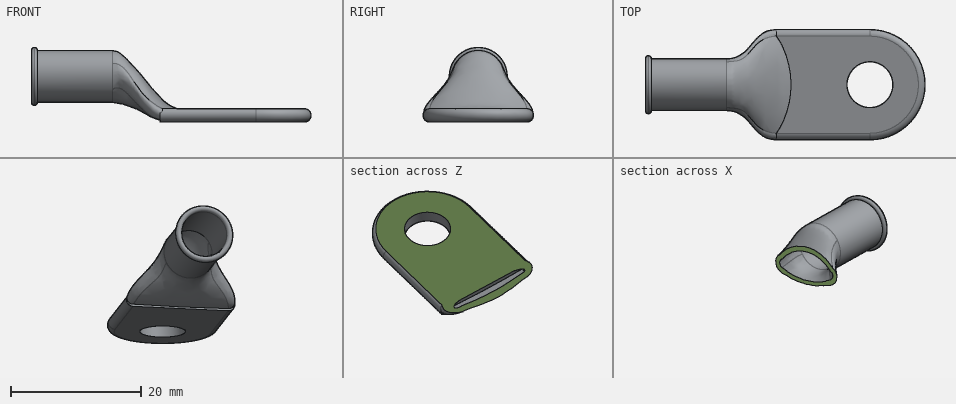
import cadquery as cq
import math

LENGTH = 43.0
WIDTH = 17.0
HEIGHT = 11.5

LIP_RADIUS = 4.47
LIP_LENGTH = 0.95
BARREL_RADIUS = 4.0
BORE_RADIUS = 3.53
BARREL_END = 12.45
AXIS_Z = HEIGHT - LIP_RADIUS

PALM_THICKNESS = 2.05
PALM_START = 19.8
PALM_HALF_WIDTH = WIDTH / 2
EDGE_RADIUS = PALM_THICKNESS / 2
PALM_CENTER_X = LENGTH - PALM_HALF_WIDTH
STUD_HOLE_DIAMETER = 7.0

EDGE_ANGLE = math.radians(30)
EDGE_INSET = BARREL_RADIUS * (1 - math.cos(EDGE_ANGLE))
EDGE_RISE = BARREL_RADIUS * math.sin(EDGE_ANGLE)

BARREL_SECTION = (
    BARREL_END, BARREL_RADIUS, AXIS_Z, EDGE_INSET, EDGE_RISE,
    AXIS_Z + BARREL_RADIUS, AXIS_Z - BARREL_RADIUS,
)
NECK_SECTIONS = [
    BARREL_SECTION,
    (14.2, 4.35, 6.6, 0.65, 1.7, 10.15, 2.7),
    (16.12, 5.98, 4.3, 0.85, 1.38, 8.13, 2.0),
    (18.05, 7.9, 2.3, 1.0, 1.15, 5.8, 0.95),
    (PALM_START, 8.43, 1.3, 1.0, 0.95, 3.8, 0.25),
    (21.5, 8.1, 1.08, 0.5, 0.45, 2.45, 0.25),
    (23.2, 7.75, 1.05, 0.35, 0.25, 1.75, 0.5),
]

CAVITY_SECTIONS = [
    (BARREL_END, BORE_RADIUS, AXIS_Z, EDGE_INSET * BORE_RADIUS / BARREL_RADIUS,
     EDGE_RISE * BORE_RADIUS / BARREL_RADIUS, AXIS_Z + BORE_RADIUS, AXIS_Z - BORE_RADIUS),
    (14.2, 3.8, 6.6, 0.55, 1.38, 9.5, 3.25),
    (16.12, 5.07, 4.3, 0.45, 0.6, 7.2, 2.7),
    (18.05, 6.45, 2.3, 0.17, 0.2, 4.4, 1.8),
    (19.35, 6.9, 1.45, 0.05, 0.05, 2.6, 1.25),
]


def section_wire(x, half_width, edge_z, inset, rise, top, bottom):
    """Closed section of four arcs: crown, two side edges and underside."""
    shoulder = half_width - inset

    def point(y, z):
        return cq.Vector(x, y, z)

    arc = cq.Edge.makeThreePointArc
    upper_left = point(-shoulder, edge_z + rise)
    upper_right = point(shoulder, edge_z + rise)
    lower_left = point(-shoulder, edge_z - rise)
    lower_right = point(shoulder, edge_z - rise)
    return cq.Wire.assembleEdges([
        arc(upper_left, point(0, top), upper_right),
        arc(upper_right, point(half_width, edge_z), lower_right),
        arc(lower_right, point(0, bottom), lower_left),
        arc(lower_left, point(-half_width, edge_z), upper_left),
    ])


def loft_sections(sections):
    wires = [section_wire(*section) for section in sections]
    return cq.Workplane(cq.Solid.makeLoft(wires))


def cylinder_along_x(radius, length):
    return cq.Workplane("YZ").center(0, AXIS_Z).circle(radius).extrude(length)


def make_palm():
    """Plate with a semicircular tip and a full-round outer edge."""
    bar_length = PALM_CENTER_X - PALM_START
    core_half_width = PALM_HALF_WIDTH - EDGE_RADIUS
    bar = (
        cq.Workplane("YZ", origin=(PALM_START, 0, EDGE_RADIUS))
        .moveTo(-core_half_width, -EDGE_RADIUS)
        .lineTo(core_half_width, -EDGE_RADIUS)
        .threePointArc((PALM_HALF_WIDTH, 0), (core_half_width, EDGE_RADIUS))
        .lineTo(-core_half_width, EDGE_RADIUS)
        .threePointArc((-PALM_HALF_WIDTH, 0), (-core_half_width, -EDGE_RADIUS))
        .close()
        .extrude(bar_length)
    )
    tip = (
        cq.Workplane("YZ", origin=(PALM_CENTER_X, 0, 0))
        .lineTo(core_half_width, 0)
        .threePointArc((PALM_HALF_WIDTH, EDGE_RADIUS), (core_half_width, PALM_THICKNESS))
        .lineTo(0, PALM_THICKNESS)
        .close()
        .revolve(180, (0, 0), (0, -1))
    )
    hole = (
        cq.Workplane("XY")
        .center(PALM_CENTER_X, 0)
        .circle(STUD_HOLE_DIAMETER / 2)
        .extrude(PALM_THICKNESS)
    )
    return bar.union(tip).cut(hole)


def make_lip():
    """Rolled ring around the mouth, centred on the barrel's outer surface."""
    ring_radius = LIP_LENGTH / 2
    center = cq.Vector(ring_radius, 0, AXIS_Z)
    return cq.Workplane(
        cq.Solid.makeTorus(LIP_RADIUS - ring_radius, ring_radius, center, cq.Vector(1, 0, 0))
    )


half_lip = LIP_LENGTH / 2
barrel = cylinder_along_x(BARREL_RADIUS, BARREL_END - half_lip).translate((half_lip, 0, 0))
body = barrel.union(loft_sections(NECK_SECTIONS)).union(make_palm())
body = body.cut(cylinder_along_x(BORE_RADIUS, BARREL_END))
body = body.cut(loft_sections(CAVITY_SECTIONS))
result = body.union(make_lip())